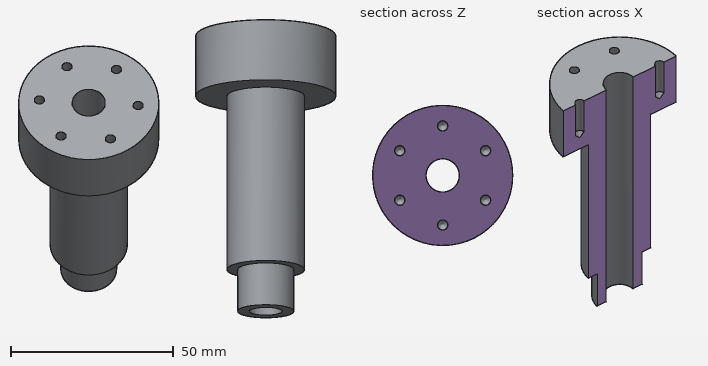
import cadquery as cq
import math

total_height = 87.12
flange_diameter = 43.18
flange_height = 19.05
shaft_diameter = 23.88
spigot_diameter = 17.27
spigot_length = 13.21
bore_diameter = 10.16

hole_count = 6
hole_circle_diameter = 30.48
hole_diameter = 3.05
hole_depth = 12.7
drill_point_angle = 90.0

shaft_length = total_height - flange_height - spigot_length


def stepped_body():
    """Spigot, shaft and flange, each built on top of the previous one."""
    spigot = cq.Workplane("XY").circle(spigot_diameter / 2).extrude(spigot_length)
    shaft = spigot.faces(">Z").workplane().circle(shaft_diameter / 2).extrude(shaft_length)
    return shaft.faces(">Z").workplane().circle(flange_diameter / 2).extrude(flange_height)


def through_bore():
    return cq.Workplane("XY").circle(bore_diameter / 2).extrude(total_height)


def drilled_hole():
    """Drill-shaped cutter on the Z axis, with its mouth at the flange top."""
    radius = hole_diameter / 2
    tip_length = radius / math.tan(math.radians(drill_point_angle / 2))
    shoulder_z = total_height - hole_depth
    profile = [
        (0, total_height),
        (radius, total_height),
        (radius, shoulder_z),
        (0, shoulder_z - tip_length),
    ]
    return cq.Workplane("XZ").polyline(profile).close().revolve(360, (0, 0, 0), (0, 1, 0))


def flange_holes():
    """Evenly spaced hole cutters, the first one on the +Y axis."""
    first = drilled_hole().translate((0, hole_circle_diameter / 2, 0))
    holes = cq.Workplane("XY")
    for index in range(hole_count):
        angle = index * 360 / hole_count
        holes = holes.add(first.rotate((0, 0, 0), (0, 0, 1), angle))
    return holes.combine()


result = stepped_body().cut(through_bore()).cut(flange_holes())